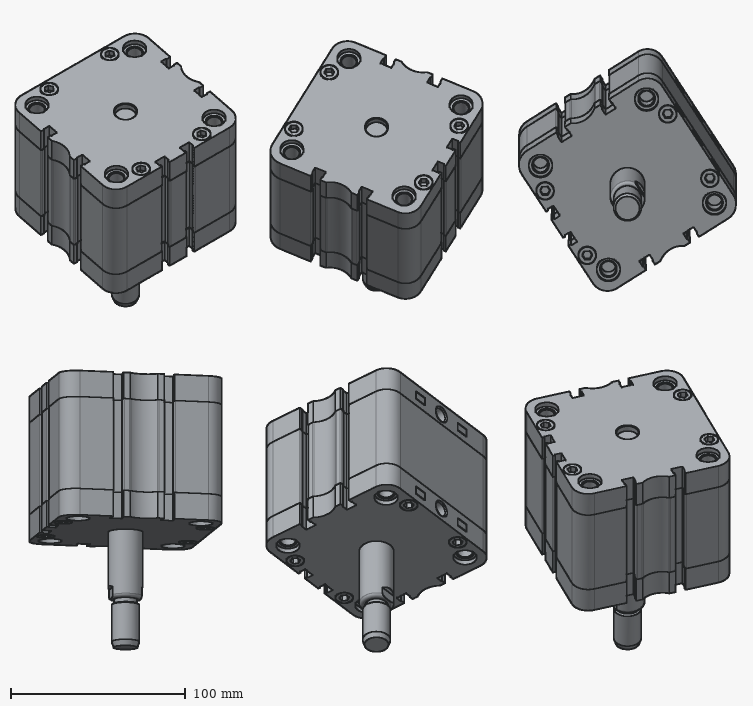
import cadquery as cq
import math


total_length = 151.0
body_width = 95.5
corner_radius = 10.0
cap_height = 15.3
rod_extension = 67.0
barrel_bottom = rod_extension + cap_height
barrel_top = total_length - cap_height
barrel_height = barrel_top - barrel_bottom
half_width = body_width / 2

y_face_slot_offset = 15.0
x_face_slot_offset = 9.0
slot_pocket_width = 7.0
cap_y_face_neck_width = 6.0
slot_neck_width = 5.5
slot_mouth_radius = 0.8
y_face_slot_depth = 6.5
y_face_lip_depth = 2.5
cap_x_face_slot_depth = 5.5
barrel_x_face_slot_depth = 5.0
x_face_lip_depth = 1.5

groove_width = 16.3
groove_depth = 2.7
groove_edge_radius = 1.5

mount_pitch = 72.0
mount_counterbore_diameter = 13.5
mount_counterbore_depth = 3.0
mount_chamfer_diameter = 9.8
mount_hole_diameter = 8.6

screw_pitch_x = 83.4
screw_pitch_y = 44.7
screw_recess_diameter = 10.3
screw_head_diameter = 9.8
screw_gap_depth = 0.8
socket_across_flats = 5.0
socket_depth = 3.8

port_offset = 8.0
port_chamfer_diameter = 10.3
port_diameter = 8.6
port_depth = 12.1
port_pilot_diameter = 5.0
port_pilot_depth = 18.1

label_offset = 19.0
label_inset = 7.7
label_width = 8.0
label_height = 5.1
label_depth = 0.3

centre_rim_diameter = 13.5
centre_diameter = 12.5
centre_depth = 4.0

rod_diameter = 20.0
rod_shoulder_height = 28.0
rod_shoulder_radius = 2.0
neck_diameter = 13.5
thread_diameter = 16.0
thread_top = 25.5
thread_top_chamfer = 0.8
tip_diameter = 13.7
tip_chamfer_height = 3.3
flats_width = 17.0
flats_top = 34.0


def rounded_block(height):
    """Square block with rounded upright corners, standing on z = 0."""
    return cq.Workplane("XY").rect(body_width, body_width).extrude(height).edges("|Z").fillet(corner_radius)


def slot_cutter(neck_width, lip_depth, depth, height, mouth_radius=0):
    """T-slot prism cut into a -Y face, with its mouth centred on the origin."""
    neck = neck_width / 2
    pocket = slot_pocket_width / 2
    outline = cq.Workplane("XY").moveTo(-neck - mouth_radius, 0)
    if mouth_radius > 0:
        outline = outline.radiusArc((-neck, mouth_radius), -mouth_radius)
    outline = (
        outline.lineTo(-neck, lip_depth)
        .lineTo(-pocket, lip_depth)
        .lineTo(-pocket, depth)
        .lineTo(pocket, depth)
        .lineTo(pocket, lip_depth)
        .lineTo(neck, lip_depth)
        .lineTo(neck, mouth_radius)
    )
    if mouth_radius > 0:
        outline = outline.radiusArc((neck + mouth_radius, 0), -mouth_radius)
    return outline.close().extrude(height)


def groove_cutter(height):
    """Prism under a shallow arc cut into a -Y face, centred on the origin."""
    half = groove_width / 2
    outline = cq.Workplane("XY").moveTo(-half, 0).threePointArc((0, groove_depth), (half, 0))
    return outline.close().extrude(height)


def cut_grooves(block, height):
    """Cut the round groove into the -Y and +Y faces."""
    cutter = groove_cutter(height).translate((0, -half_width, 0))
    return block.cut(cutter).cut(cutter.mirror("XZ"))


def cut_slots(block, y_face_cutter, x_face_cutter):
    """Cut two sensor slots into each of the -Y, +Y and +X faces."""
    for side in (-1, 1):
        y_slot = y_face_cutter.translate((side * y_face_slot_offset, -half_width, 0))
        block = block.cut(y_slot).cut(y_slot.mirror("XZ"))
        x_slot = x_face_cutter.translate((side * x_face_slot_offset, -half_width, 0))
        block = block.cut(x_slot.rotate((0, 0, 0), (0, 0, 1), 90))
    return block


def hole_cutter(rim_diameter, diameter, depth):
    """Blind hole with a 45 degree rim chamfer, going down from the origin."""
    rim_chamfer = (rim_diameter - diameter) / 2
    profile = [
        (0, 0),
        (rim_diameter / 2, 0),
        (diameter / 2, -rim_chamfer),
        (diameter / 2, -depth),
        (0, -depth),
    ]
    return cq.Workplane("XZ").polyline(profile).close().revolve(360, (0, 0, 0), (0, 1, 0))


def face_port_cutter(cutter):
    """Turn a downward hole cutter so that it enters the -X face at port height."""
    turned = cutter.rotate((0, 0, 0), (0, 1, 0), -90)
    return turned.translate((-half_width, 0, cap_height - port_offset))


def cut_mounting_holes(cap):
    """Counterbored holes through the cap at its four corners."""
    counterbore = cq.Workplane("XY").circle(mount_counterbore_diameter / 2).extrude(-mount_counterbore_depth)
    lower_depth = cap_height - mount_counterbore_depth
    lower_hole = hole_cutter(mount_chamfer_diameter, mount_hole_diameter, lower_depth)
    cutter = counterbore.union(lower_hole.translate((0, 0, -mount_counterbore_depth)))
    centres = (
        cq.Workplane("XY", origin=(0, 0, cap_height))
        .rect(mount_pitch, mount_pitch, forConstruction=True)
        .vertices()
    )
    return cap.cut(centres.eachpoint(cutter.val(), combine=False))


def cut_screw_heads(cap):
    """V-shaped gap around the bevelled edge of each screw head, and its hexagonal socket."""
    socket_across_corners = socket_across_flats / math.cos(math.pi / 6)
    gap = (
        cq.Workplane("XZ")
        .moveTo(screw_head_diameter / 2, 0)
        .lineTo(screw_recess_diameter / 2, 0)
        .lineTo(screw_recess_diameter / 2, -screw_gap_depth)
        .close()
        .revolve(360, (0, 0, 0), (0, 1, 0))
    )
    socket = (
        cq.Workplane("XY")
        .polygon(6, socket_across_corners)
        .extrude(-socket_depth)
        .rotate((0, 0, 0), (0, 0, 1), 90)
    )
    centres = (
        cq.Workplane("XY", origin=(0, 0, cap_height))
        .rect(screw_pitch_x, screw_pitch_y, forConstruction=True)
        .vertices()
    )
    for cutter in (gap, socket):
        cap = cap.cut(centres.eachpoint(cutter.val(), combine=False))
    return cap


def cut_labels(cap):
    """Shallow rectangular panels on both sides of the port."""
    panel = cq.Workplane("XY").box(2 * label_depth, label_width, label_height)
    for side in (-1, 1):
        cap = cap.cut(panel.translate((-half_width, side * label_offset, cap_height - label_inset)))
    return cap


def make_cap():
    """Features common to both caps, with the outer face up and the inner face on z = 0."""
    cap = cut_grooves(rounded_block(cap_height), cap_height)
    cap = cut_slots(
        cap,
        slot_cutter(cap_y_face_neck_width, y_face_lip_depth, y_face_slot_depth, cap_height),
        slot_cutter(slot_neck_width, x_face_lip_depth, cap_x_face_slot_depth, cap_height),
    )
    cap = cut_mounting_holes(cap)
    cap = cut_screw_heads(cap)
    cap = cut_labels(cap)
    return cap.cut(face_port_cutter(hole_cutter(port_chamfer_diameter, port_diameter, port_depth)))


def make_upper_cap():
    """Closed cap with a centring recess and a pilot hole behind its port."""
    centring_recess = hole_cutter(centre_rim_diameter, centre_diameter, centre_depth)
    pilot = cq.Workplane("XY").circle(port_pilot_diameter / 2).extrude(-port_pilot_depth)
    cap = make_cap().cut(centring_recess.translate((0, 0, cap_height))).cut(face_port_cutter(pilot))
    return cap.translate((0, 0, barrel_top))


def make_lower_cap():
    """Mirrored cap with the bore that holds the piston rod."""
    rod_bore = cq.Workplane("XY").circle(rod_diameter / 2).extrude(cap_height)
    return make_cap().cut(rod_bore).mirror("XY").translate((0, 0, barrel_bottom))


def make_barrel():
    """Extruded profile between the caps, with rounded groove edges and slot mouths."""
    barrel = cut_grooves(rounded_block(barrel_height), barrel_height)
    for x in (-groove_width / 2, groove_width / 2):
        for y in (-half_width, half_width):
            groove_edge = cq.selectors.NearestToPointSelector((x, y, barrel_height / 2))
            barrel = barrel.edges("|Z").edges(groove_edge).fillet(groove_edge_radius)
    y_face_cutter = slot_cutter(
        slot_neck_width, y_face_lip_depth, y_face_slot_depth, barrel_height, slot_mouth_radius
    )
    x_face_cutter = slot_cutter(
        slot_neck_width, x_face_lip_depth, barrel_x_face_slot_depth, barrel_height, slot_mouth_radius
    )
    return cut_slots(barrel, y_face_cutter, x_face_cutter).translate((0, 0, barrel_bottom))


def make_rod():
    """Turned rod with a threaded end, an undercut and two wrench flats; it ends at the barrel."""
    rod_radius = rod_diameter / 2
    shoulder_inner_radius = rod_radius - rod_shoulder_radius
    rod = (
        cq.Workplane("XZ")
        .moveTo(0, 0)
        .lineTo(tip_diameter / 2, 0)
        .lineTo(thread_diameter / 2, tip_chamfer_height)
        .lineTo(thread_diameter / 2, thread_top - thread_top_chamfer)
        .lineTo(neck_diameter / 2, thread_top)
        .lineTo(neck_diameter / 2, rod_shoulder_height)
        .lineTo(shoulder_inner_radius, rod_shoulder_height)
        .radiusArc((rod_radius, rod_shoulder_height + rod_shoulder_radius), -rod_shoulder_radius)
        .lineTo(rod_radius, barrel_bottom)
        .lineTo(0, barrel_bottom)
        .close()
        .revolve(360, (0, 0, 0), (0, 1, 0))
    )
    flat_depth = rod_radius - flats_width / 2
    flat = (
        cq.Workplane("XZ")
        .moveTo(flats_width / 2, rod_shoulder_height)
        .lineTo(flats_width / 2, flats_top)
        .lineTo(rod_radius, flats_top + flat_depth)
        .lineTo(rod_radius, rod_shoulder_height)
        .close()
        .extrude(rod_radius, both=True)
    )
    return rod.cut(flat).cut(flat.mirror("YZ"))


upper_cap = make_upper_cap()
barrel = make_barrel()
lower_cap = make_lower_cap()
piston_rod = make_rod()

bodies = (upper_cap, barrel, lower_cap, piston_rod)
result = cq.Compound.makeCompound([body.solids().val() for body in bodies])